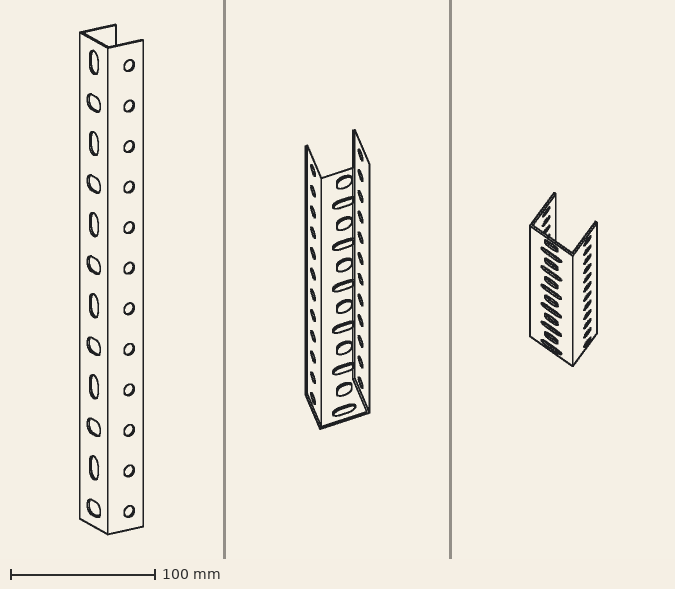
import cadquery as cq

width = 36.64
depth = 29.0
length = 360.0
thickness = 1.5

pitch = 30.0
first_row = 13.5
row_count = 12

slot_length = 17.0
slot_width = 11.0

hole_diameter = 8.2
hole_from_web = 17.5

row_heights = [first_row + row * pitch for row in range(row_count)]


def channel():
    """U section standing along Z, centred on X, web outer face at Y = 0."""
    outer = cq.Workplane("XY").rect(width, depth).extrude(length)
    inner = (
        cq.Workplane("XY")
        .center(0, thickness)
        .rect(width - 2 * thickness, depth)
        .extrude(length)
    )
    return outer.cut(inner).translate((0, depth / 2, 0))


def web_slots(heights, angle):
    """Slots through the web at the given heights; angle 0 lies along X, 90 along Z."""
    return (
        cq.Workplane("XZ", origin=(0, thickness, 0))
        .pushPoints([(0, height) for height in heights])
        .slot2D(slot_length, slot_width, angle)
        .extrude(thickness)
    )


def flange_holes():
    """Round holes through both flanges."""
    return (
        cq.Workplane("YZ", origin=(-width / 2, 0, 0))
        .pushPoints([(hole_from_web, height) for height in row_heights])
        .circle(hole_diameter / 2)
        .extrude(width)
    )


cross_slots = web_slots(row_heights[0::2], 0)
long_slots = web_slots(row_heights[1::2], 90)
result = channel().cut(cross_slots).cut(long_slots).cut(flange_holes())